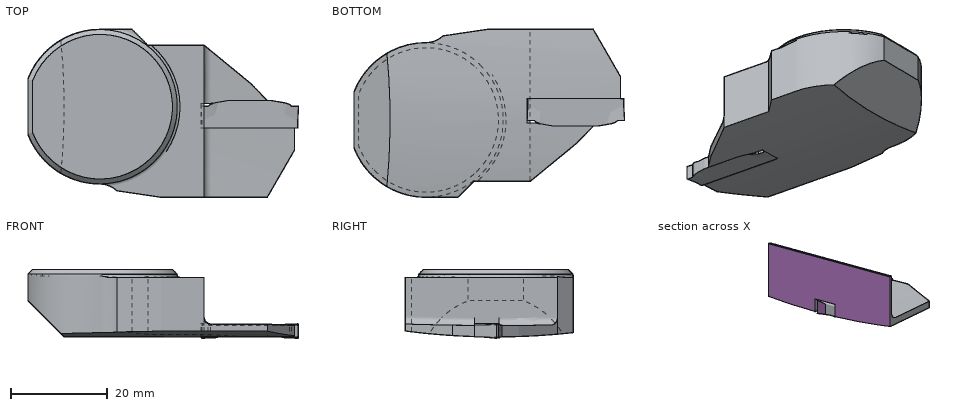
import cadquery as cq
import math


disc_radius = 16.05
disc_center_x = 15.0
cap_radius = 16.0
cap_chamfer = 1.0
cap_top = 14.0
flare_radius = 0.55
rim_bevel = 7.5

block_top = 12.35
block_end_x = 36.5
block_back_y = 12.75
front_y = -18.8
blade_top = 2.7
blade_top_radius = 561.0
blade_end_x = 55.25
step_fillet = 1.5
underside_radius = 144.2

lug_end_x = 21.55
lug_foot_x = 24.85
neck_blend_radius = 5.05
neck_blend_end_x = 18.45
front_taper_end_x = 27.65
jaw_bend = (46.2, 4.75)
jaw_end_x = 49.6
blade_corner_x = 49.6
blade_corner_y = -9.0

insert_end_x = 56.1
insert_length = 20.2
insert_half_length = insert_length / 2
insert_center_x = insert_end_x - insert_half_length
insert_bottom = 0.0
insert_top = 2.45
insert_middle = (insert_bottom + insert_top) / 2
insert_seat_y = -4.45
insert_ridge_y = 1.3
edge_y = 0.1
corner_radius = 0.2

ridge_half_length = 4.5
ramp_end = (7.4, 0.8)
chip_step_start = (8.2, 0.5)
chip_step_end_run = 8.65
relief_foot = (9.95, -3.05)

head_overhang = 0.29
crest_overhang = 0.195
crest = (7.35, 0.8)
head_root = (7.25, -1.6)
head_back_end = (6.45, 0.9)

pocket_end_x = insert_end_x - insert_length
pocket_ceiling = 2.8
pocket_gap_y = 0.6

margin = 5.6


def outline():
    """Plan outline of disc, block and blade."""
    blend_run = neck_blend_end_x - disc_center_x
    blend_angle = math.asin(blend_run / neck_blend_radius)
    neck_center_y = -disc_radius - neck_blend_radius
    neck_mid = (
        disc_center_x + neck_blend_radius * math.sin(blend_angle / 2),
        neck_center_y + neck_blend_radius * math.cos(blend_angle / 2),
    )
    neck_end = (neck_blend_end_x, neck_center_y + neck_blend_radius * math.cos(blend_angle))
    return (
        cq.Workplane("XY")
        .moveTo(disc_center_x, disc_radius)
        .lineTo(lug_end_x, disc_radius)
        .lineTo(lug_foot_x, block_back_y)
        .lineTo(block_end_x, block_back_y)
        .lineTo(*jaw_bend)
        .lineTo(jaw_end_x, insert_ridge_y)
        .lineTo(blade_end_x, insert_ridge_y)
        .lineTo(blade_end_x, blade_corner_y)
        .lineTo(blade_corner_x, front_y)
        .lineTo(front_taper_end_x, front_y)
        .lineTo(*neck_end)
        .threePointArc(neck_mid, (disc_center_x, -disc_radius))
        .threePointArc((disc_center_x - disc_radius, 0), (disc_center_x, disc_radius))
        .close()
    )


def cap():
    """Disc cap with a chamfered top and a flared foot."""
    flare_top = block_top + flare_radius
    flare_center_r = cap_radius + flare_radius
    flare_mid = flare_radius * math.sqrt(0.5)
    cap_body = (
        cq.Workplane("XZ")
        .moveTo(0, 0)
        .lineTo(flare_center_r, 0)
        .lineTo(flare_center_r, block_top)
        .threePointArc((flare_center_r - flare_mid, flare_top - flare_mid), (cap_radius, flare_top))
        .lineTo(cap_radius, cap_top - cap_chamfer)
        .lineTo(cap_radius - cap_chamfer, cap_top)
        .lineTo(0, cap_top)
        .close()
        .revolve(360, (0, 0, 0), (0, 1, 0))
        .translate((disc_center_x, 0, 0))
    )
    return cap_body.intersect(outline().extrude(cap_top))


def rim_cut():
    """Space left of the rim: bevel below, flat at X = 0, and the cap chamfer above."""
    profile = [
        (-margin, -margin),
        (rim_bevel + margin, -margin),
        (0, rim_bevel),
        (0, cap_top - cap_chamfer),
        (cap_chamfer + margin, cap_top + margin),
        (-margin, cap_top + margin),
    ]
    return cq.Workplane("XZ").polyline(profile).close().extrude(2 * disc_radius, both=True)


def underside():
    """Keeps what lies above the arched bottom, a cylinder along X."""
    return (
        cq.Workplane("YZ")
        .center(0, underside_radius)
        .circle(underside_radius)
        .extrude(insert_end_x)
    )


def blade_step():
    """Space above the blade, bounded by the block wall and the hollow blade top."""
    center_z = blade_top + math.sqrt(blade_top_radius ** 2 - front_y ** 2)
    hollow = (
        cq.Workplane("YZ", origin=(block_end_x, 0, 0))
        .center(0, center_z)
        .circle(blade_top_radius)
        .extrude(insert_end_x)
    )
    space = cq.Workplane("XY", origin=(block_end_x, 0, 0)).box(
        insert_end_x, 4 * disc_radius, cap_top, centered=(False, True, False)
    )
    return space.intersect(hollow).edges("<X and <Z").fillet(step_fillet)


def insert_pocket():
    """Seat for the insert: open above the blade, roofed where it enters the block."""
    plan = [
        (pocket_end_x, insert_seat_y),
        (insert_end_x + margin, insert_seat_y),
        (insert_end_x + margin, insert_ridge_y),
        (insert_center_x - ridge_half_length, insert_ridge_y),
        (insert_center_x - ramp_end[0], ramp_end[1]),
        (insert_center_x - chip_step_start[0], pocket_gap_y),
        (pocket_end_x, pocket_gap_y),
    ]
    pocket = cq.Workplane("XY").workplane(offset=-margin).polyline(plan).close()
    pocket = pocket.extrude(margin + cap_top)
    roof = cq.Workplane("XY", origin=(0, 0, pocket_ceiling)).box(
        block_end_x, 4 * disc_radius, cap_top, centered=(False, True, False)
    )
    return pocket.cut(roof)


def make_holder():
    body = outline().extrude(block_top).union(cap())
    body = body.cut(blade_step()).intersect(underside())
    return body.cut(rim_cut()).cut(insert_pocket())


def half_outline():
    """Corners of the insert's outer half, as offsets from its centre."""
    return [
        (0, insert_ridge_y),
        (ridge_half_length, insert_ridge_y),
        ramp_end,
        chip_step_start,
        (chip_step_end_run, edge_y),
        (insert_half_length, edge_y),
        relief_foot,
        (relief_foot[0], insert_seat_y),
        (0, insert_seat_y),
    ]


def slope_cutter(foot_end, high_point):
    """Half-space above the plane through the head root, foot_end and high_point."""
    root = cq.Vector(*head_root, insert_top)
    along = cq.Vector(*foot_end, insert_top) - root
    normal = along.cross(cq.Vector(*high_point) - root)
    if normal.z < 0:
        normal = -normal
    plane = cq.Plane(origin=root, xDir=along, normal=normal)
    return cq.Workplane(plane).rect(8 * margin, 8 * margin).extrude(2 * margin)


def cutting_head():
    """Thickened side of the outer tip: it falls away along a side relief and a rear slope."""
    tip = (insert_half_length, edge_y, insert_top + head_overhang)
    crest_point = (*crest, insert_top + crest_overhang)
    blank = cq.Workplane("XY").workplane(offset=insert_middle).polyline(half_outline()).close()
    blank = blank.extrude(insert_top + head_overhang - insert_middle)
    head = blank.cut(slope_cutter(relief_foot, tip))
    return head.cut(slope_cutter(head_back_end, crest_point))


def make_insert():
    plan = cq.Workplane("XY").workplane(offset=insert_middle).polyline(half_outline()).close()
    quarter = plan.extrude(insert_top - insert_middle).union(cutting_head()).clean()
    end_zone = cq.selectors.BoxSelector(
        (relief_foot[0] - corner_radius, insert_seat_y - margin, insert_top - head_overhang),
        (insert_half_length + margin, insert_ridge_y, insert_top + head_overhang),
    )
    quarter = quarter.edges(end_zone).edges("not |Z").fillet(corner_radius)
    half = quarter.union(quarter.mirror("XY", (0, 0, insert_middle)))
    return half.union(half.mirror("YZ")).clean().translate((insert_center_x, 0, 0))


holder = make_holder()
insert = make_insert()
result = cq.Compound.makeCompound([holder.val(), insert.val()])